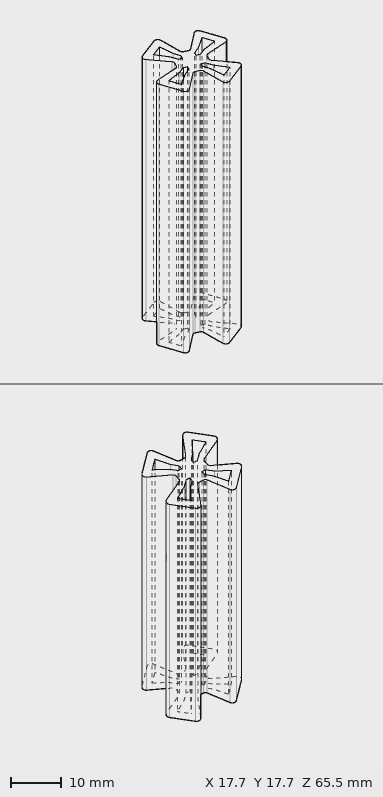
import cadquery as cq
import math

length = 65.5
width = 17.7

tip_radius = 0.85
tip_offset = 4.25
floor_radius = 0.65
floor_distance = 3.4
groove_half_angle = math.radians(27.5)

web_half_width = 1.45
cavity_neck = 2.3
cavity_bend = (2.7, 3.6)
cavity_corner = (4.45, 6.4)

tip_center_y = width / 2 - tip_radius
end_sum = tip_offset + tip_center_y + tip_radius * math.sqrt(2)

groove_slope = math.tan(groove_half_angle)
tangent_x = tip_offset - tip_radius * math.cos(groove_half_angle)
tangent_y = tip_center_y + tip_radius * math.sin(groove_half_angle)
floor_half_width = tangent_x - groove_slope * (tangent_y - floor_distance)

sharp_y = (end_sum - floor_half_width + groove_slope * floor_distance) / (1 + groove_slope)
sharp_x = end_sum - sharp_y


def prism(points):
    return cq.Workplane("XY").polyline(points).close().extrude(length)


def outer_body():
    arm_side = [
        (floor_half_width, floor_distance),
        (sharp_x, sharp_y),
        (sharp_y, sharp_x),
        (floor_distance, floor_half_width),
    ]
    outline = list(arm_side)
    for quarter_turn in range(3):
        outline += [(y, -x) for x, y in outline[-len(arm_side):]]
    body = prism(outline)
    core_half_width = floor_distance + floor_radius
    core = cq.selectors.BoxSelector(
        (-core_half_width, -core_half_width, 0),
        (core_half_width, core_half_width, length),
    )
    body = body.edges(cq.StringSyntaxSelector("|Z") - core).fillet(tip_radius)
    return body.edges("|Z").edges(core).fillet(floor_radius)


def arm_cavity():
    upper_side = [
        (web_half_width, web_half_width),
        (web_half_width, cavity_neck),
        cavity_bend,
        cavity_corner,
    ]
    lower_side = [(y, x) for x, y in reversed(upper_side[1:])]
    return prism(upper_side + lower_side)


result = outer_body()
for angle in range(0, 360, 90):
    result = result.cut(arm_cavity().rotate((0, 0, 0), (0, 0, 1), angle))